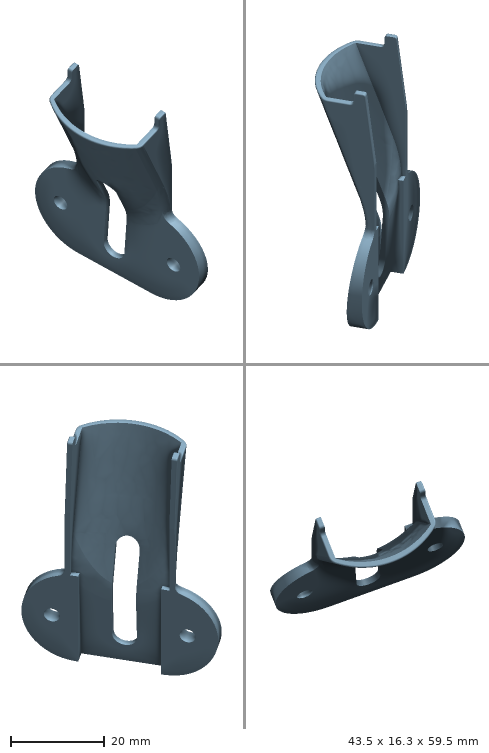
import cadquery as cq
import math

total_height = 59.5
mouth_height = 56.45

pad_radius = 12.0
plate_width = 43.5
plate_half_width = plate_width / 2
pad_center_x = plate_half_width - pad_radius
bottom_thickness = 4.2
front_taper = 0.079
hole_x = 15.0
hole_diameter = 3.55

channel_half_width = 12.2
wall = 1.25
front_wall = 1.4
lean = 0.37
mouth_depth = 16.4
bow_radius = 17.85
blend_radius = 10.1
corner_radius = 2.1
neck_radius = 2.1
rim_radius = 0.3
flat_top = 41.65

recess_half_width = 9.15

slot_x = -0.55
slot_width = 5.5
slot_bottom = 4.65
slot_top = 32.4

back_bend_height = 41.65
ear_back = 2.15
ear_front = 4.75
ear_tip_radius = 0.6
ear_root_radius = 0.9

margin = 5.95


def side_prism(points, half_width):
    """Extrude a (Y, Z) outline symmetrically across X."""
    return cq.Workplane("YZ").polyline(points).close().extrude(half_width, both=True)


def wedge(half_width, height, shift=0.0):
    """Block from Y = 0 to the tapered front face moved back by shift."""
    def front(z):
        return -bottom_thickness + front_taper * z + shift

    return side_prism(
        [(margin, 0), (front(0), 0), (front(height), height), (margin, height)],
        half_width,
    )


def leaning_prism(half_width, shift=0.0):
    """Bowed section at full height, swept down along the lean."""
    crest_y = -mouth_depth - lean * (total_height - mouth_height) + shift

    def bow_y(x):
        return crest_y + bow_radius - math.sqrt(bow_radius**2 - x**2)

    section = (
        cq.Workplane("XY", origin=(0, 0, total_height))
        .moveTo(-half_width, margin)
        .lineTo(-half_width, bow_y(-half_width))
        .threePointArc((0, crest_y), (half_width, bow_y(half_width)))
        .lineTo(half_width, margin)
        .close()
        .wires()
        .val()
    )
    travel = cq.Vector(0, lean * total_height, -total_height)
    return cq.Workplane(cq.Solid.extrudeLinear(section, [], travel))


def channel_form(half_width, shift=0.0):
    """Flat wedge and leaning trough, blended where their fronts meet."""
    form = wedge(half_width, flat_top, shift).union(leaning_prism(half_width, shift))
    crease_zone = cq.selectors.BoxSelector(
        (-half_width / 2, -margin, slot_bottom), (half_width / 2, 0, slot_top)
    )
    return form.edges(crease_zone).fillet(blend_radius)


def round_front_corners(form):
    """Round the two long edges between the side walls and the front."""
    for side in (-1, 1):
        x = side * channel_half_width
        zone = cq.selectors.BoxSelector(
            (x - 0.05, -mouth_depth, 0.6), (x + 0.05, margin / 2, total_height - 0.6)
        )
        form = form.edges(zone).edges("not(|Y or |Z)").fillet(corner_radius)
    return form


def pad_plate():
    """Plate outline of two pads, cut to the tapered thickness."""
    outline = (
        cq.Workplane("XZ")
        .center(0, pad_radius)
        .slot2D(2 * plate_half_width, 2 * pad_radius)
        .extrude(mouth_depth)
    )
    return outline.intersect(wedge(plate_half_width + margin, 2 * pad_radius))


def side_outline():
    """Side silhouette that trims the back, the mouth and the ears."""
    front = -mouth_depth - margin
    outline = side_prism(
        [
            (0, 0),
            (0, back_bend_height),
            (-ear_back, total_height),
            (-ear_front, total_height),
            (-ear_front, mouth_height),
            (front, mouth_height),
            (front, 0),
        ],
        plate_half_width + margin,
    )
    outline = outline.faces(">Z").edges("|X").fillet(ear_tip_radius)
    root = cq.selectors.NearestToPointSelector((0, -ear_front, mouth_height))
    return outline.edges("|X").edges(root).fillet(ear_root_radius)


def cavity():
    """Hollow behind the sheet, narrower between the pads."""
    inner_half_width = channel_half_width - wall
    above_pads = cq.Workplane("XY").box(
        2 * inner_half_width, 2 * total_height, total_height, centered=(True, True, False)
    ).translate((0, 0, 2 * pad_radius))
    channel_hollow = channel_form(inner_half_width, front_wall)
    recess_band = cq.Workplane("XY").box(
        2 * recess_half_width, 2 * total_height, 2 * total_height
    )
    return channel_hollow.intersect(above_pads.union(recess_band))


def plate_cuts():
    """The long slot and the two mounting holes."""
    slot_length = slot_top - slot_bottom
    slot = (
        cq.Workplane("XZ")
        .center(slot_x, (slot_top + slot_bottom) / 2)
        .slot2D(slot_length, slot_width, 90)
        .extrude(mouth_depth)
    )
    holes = (
        cq.Workplane("XZ")
        .pushPoints([(-hole_x, pad_radius), (hole_x, pad_radius)])
        .circle(hole_diameter / 2)
        .extrude(mouth_depth)
    )
    return slot.union(holes)


channel = round_front_corners(channel_form(channel_half_width))
above_pad_centers = cq.Workplane("XY").box(
    2 * plate_half_width, 4 * mouth_depth, total_height, centered=(True, True, False)
).translate((0, 0, pad_radius))
body = pad_plate().union(channel.intersect(above_pad_centers)).intersect(side_outline())

neck_z = pad_radius + math.sqrt(pad_radius**2 - (channel_half_width - pad_center_x) ** 2)
for side in (-1, 1):
    neck = cq.selectors.NearestToPointSelector((side * channel_half_width, -wall, neck_z))
    body = body.edges("|Y").edges(neck).fillet(neck_radius)

mouth_and_ears = cq.selectors.BoxSelector(
    (-plate_half_width, -mouth_depth - 0.6, mouth_height - 0.05),
    (plate_half_width, 0.6, total_height + 0.6),
)
slanted_backs = cq.selectors.BoxSelector(
    (-plate_half_width, -ear_back, back_bend_height + 0.6),
    (plate_half_width, 0.6, total_height - 0.6),
)
rim = body.edges(mouth_and_ears + slanted_backs).edges("not |X")
body = rim.fillet(rim_radius)

result = body.cut(cavity()).cut(plate_cuts())